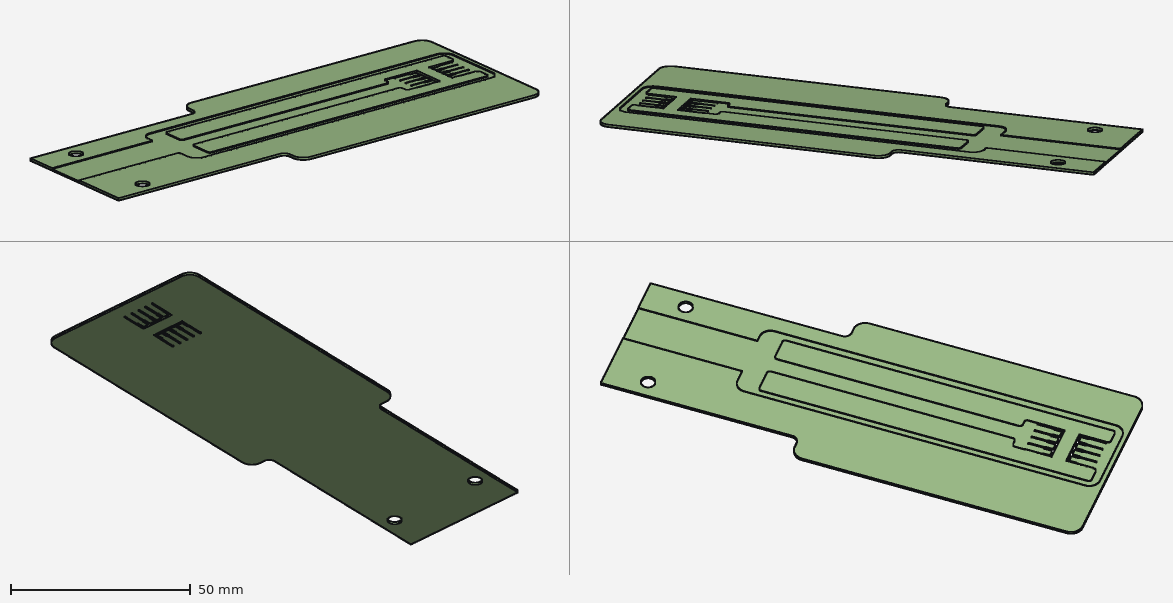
import cadquery as cq

length = 144.6
thickness = 0.78
head_width = 54.1
neck_width = 39.9
shoulder_y = -13.3
head_corner_radius = 3.5
neck_fillet_radius = 2.0

hole_diameter = 4.0
hole_spacing = 30.1
hole_y = -60.0

pocket_depth = 0.3
pocket_left_x = -15.2
pocket_right_x = 9.0
pocket_top_y = 70.9
pocket_bottom_y = -36.9
pocket_corner_radius = 3.2
channel_left_x = -10.1
channel_right_x = 2.0

rails_left_x = -13.0
rails_right_x = 7.1
rails_inner_width = 4.9
rail_top_y = 68.5
rail_bottom_y = -30.2
rail_ledge_y = 43.4
rail_corner_radius = 0.9
crossbar_y = 57.3
crossbar_height = 4.3

finger_count = 4
comb_width = 10.5
slot_width = 0.39
comb_reach = 10.1
tip_gap = 0.65
tip_inset = 0.2
tip_length = 2.2
tip_taper_length = 0.5
tip_radius = 0.3

plate_end_y = -length / 2
pocket_floor_z = thickness - pocket_depth
pocket_center_x = (pocket_left_x + pocket_right_x) / 2
finger_pitch = (comb_width - slot_width) / finger_count
finger_width = finger_pitch - slot_width
comb_root_y = crossbar_y + comb_reach
crossbar_edge_y = crossbar_y + crossbar_height / 2


def box(left, right, bottom, top, floor, height):
    """Block between two X and two Y limits, rising from the floor level."""
    return (
        cq.Workplane("XY", origin=(0, 0, floor))
        .center((left + right) / 2, (bottom + top) / 2)
        .rect(right - left, top - bottom)
        .extrude(height)
    )


def make_plate():
    """Wide rounded head blending into a narrower square-ended neck."""
    head = box(-head_width / 2, head_width / 2, shoulder_y, length / 2, 0, thickness)
    head = head.edges("|Z").fillet(head_corner_radius)
    neck = box(-neck_width / 2, neck_width / 2, plate_end_y, 0, 0, thickness)
    plate = head.union(neck)
    neck_corners = cq.selectors.BoxSelector(
        (-neck_width / 2 - neck_fillet_radius / 2, shoulder_y - neck_fillet_radius / 2, -thickness),
        (neck_width / 2 + neck_fillet_radius / 2, shoulder_y + neck_fillet_radius / 2, 2 * thickness),
    )
    return plate.edges("|Z").edges(neck_corners).fillet(neck_fillet_radius)


def make_pocket():
    """Rounded rectangle plus the straight channel to the neck end."""
    pocket = box(
        pocket_left_x, pocket_right_x, pocket_bottom_y, pocket_top_y, pocket_floor_z, pocket_depth
    )
    pocket = pocket.edges("|Z").fillet(pocket_corner_radius)
    channel_end_y = pocket_bottom_y + pocket_corner_radius
    channel = box(
        channel_left_x, channel_right_x, plate_end_y, channel_end_y, pocket_floor_z, pocket_depth
    )
    return pocket.union(channel)


def make_rail(side, outer_x):
    """One rail, stepped at the ledge; side is -1 for left and 1 for right."""
    comb_wall_x = pocket_center_x + side * comb_width / 2
    inner_x = pocket_center_x + side * rails_inner_width / 2
    return (
        cq.Workplane("XY", origin=(0, 0, pocket_floor_z))
        .moveTo(outer_x, rail_top_y)
        .lineTo(comb_wall_x, rail_top_y)
        .lineTo(comb_wall_x, rail_ledge_y)
        .lineTo(inner_x, rail_ledge_y)
        .lineTo(inner_x, rail_bottom_y)
        .lineTo(outer_x, rail_bottom_y)
        .close()
        .extrude(pocket_depth)
        .edges("|Z")
        .fillet(rail_corner_radius)
    )


def make_crossbar():
    """Bar that ties the two rails together between the combs."""
    return (
        cq.Workplane("XY", origin=(pocket_center_x, crossbar_y, pocket_floor_z))
        .rect(comb_width + rail_corner_radius, crossbar_height)
        .extrude(pocket_depth)
    )


def make_finger(center_x):
    """Finger with a narrowed, rounded tip that stops short of the crossbar."""
    root_half = finger_width / 2
    tip_half = root_half - tip_inset
    tip_y = crossbar_edge_y + tip_gap
    neck_y = tip_y + tip_length
    taper_y = neck_y + tip_taper_length
    outline = [
        (-root_half, comb_root_y),
        (-root_half, taper_y),
        (-tip_half, neck_y),
        (-tip_half, tip_y),
        (tip_half, tip_y),
        (tip_half, neck_y),
        (root_half, taper_y),
        (root_half, comb_root_y),
    ]
    finger = cq.Workplane("XY", origin=(center_x, 0, 0)).polyline(outline).close().extrude(thickness)
    return finger.faces("<Y").edges("|Z").fillet(tip_radius)


def make_comb_opening():
    """Through opening above the crossbar that leaves only the fingers."""
    left = pocket_center_x - comb_width / 2
    opening = box(left, left + comb_width, crossbar_edge_y, comb_root_y, 0, thickness)
    for index in range(finger_count):
        offset = (index - (finger_count - 1) / 2) * finger_pitch
        opening = opening.cut(make_finger(pocket_center_x + offset))
    return opening


def make_holes():
    """Pair of mounting holes."""
    return (
        cq.Workplane("XY")
        .pushPoints([(-hole_spacing / 2, hole_y), (hole_spacing / 2, hole_y)])
        .circle(hole_diameter / 2)
        .extrude(thickness)
    )


left_rail = make_rail(-1, rails_left_x)
right_rail = make_rail(1, rails_right_x)
recess = make_pocket().cut(left_rail).cut(right_rail).cut(make_crossbar())
upper_comb = make_comb_opening()
lower_comb = upper_comb.mirror("XZ", (0, crossbar_y, 0))

result = make_plate().cut(recess).cut(upper_comb).cut(lower_comb).cut(make_holes())